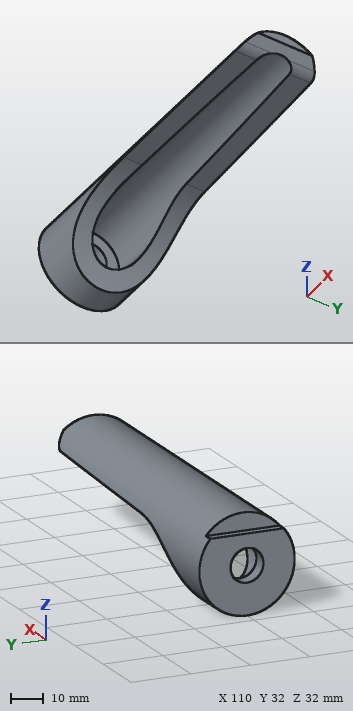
import cadquery as cq
import math

length = 110.0
diameter = 32.0
radius = diameter / 2
bore_diameter = 11.0
head_bore_diameter = 20.0
seat_thickness = 5.1
step_length = 3.1
step_depth = 5.8
foot_length = 10.1
sweep_radius = 40.0
sweep_end_z = 5.9
handle_slope = 2.0
tip_thickness = 3.5
bevel_angle = 45.0
bevel_round = 5.5


def make_cylinder():
    return cq.Workplane("YZ").circle(radius).extrude(length)


def make_side_profile():
    """Side outline, extruded across the full width of the cylinder."""
    slope = math.radians(handle_slope)
    center_z = sweep_end_z - sweep_radius * math.cos(slope)
    center_x = foot_length + math.sqrt(sweep_radius**2 - (radius + center_z) ** 2)
    sweep_end_x = center_x - sweep_radius * math.sin(slope)
    start_angle = math.atan2(-radius - center_z, foot_length - center_x)
    end_angle = math.pi / 2 + slope
    middle_angle = (start_angle + end_angle) / 2
    sweep_middle = (
        center_x + sweep_radius * math.cos(middle_angle),
        center_z + sweep_radius * math.sin(middle_angle),
    )

    tip_z = radius - tip_thickness
    bevel = math.radians(bevel_angle)
    rise_to_tip = tip_z - sweep_end_z - (length - sweep_end_x) * math.tan(slope)
    corner_x = length - rise_to_tip / (math.tan(bevel) - math.tan(slope))
    corner_z = tip_z - (length - corner_x) * math.tan(bevel)

    profile = (
        cq.Workplane("XZ")
        .moveTo(0, -radius)
        .lineTo(foot_length, -radius)
        .threePointArc(sweep_middle, (sweep_end_x, sweep_end_z))
        .lineTo(corner_x, corner_z)
        .lineTo(length, tip_z)
        .lineTo(length, radius)
        .lineTo(step_length, radius)
        .lineTo(step_length, radius - step_depth)
        .lineTo(0, radius - step_depth)
        .close()
        .extrude(radius, both=True)
    )
    corner_edge = cq.selectors.NearestToPointSelector((corner_x, 0, corner_z))
    return profile.edges("|Y").edges(corner_edge).fillet(bevel_round)


def make_bore():
    """Screw hole that widens behind the mounting wall and grooves the underside of the handle."""
    screw_hole = cq.Workplane("YZ").circle(bore_diameter / 2).extrude(seat_thickness)
    head_bore = (
        cq.Workplane("YZ", origin=(seat_thickness, 0, 0))
        .circle(head_bore_diameter / 2)
        .extrude(length - seat_thickness)
    )
    return screw_hole.union(head_bore)


result = make_cylinder().intersect(make_side_profile()).cut(make_bore())